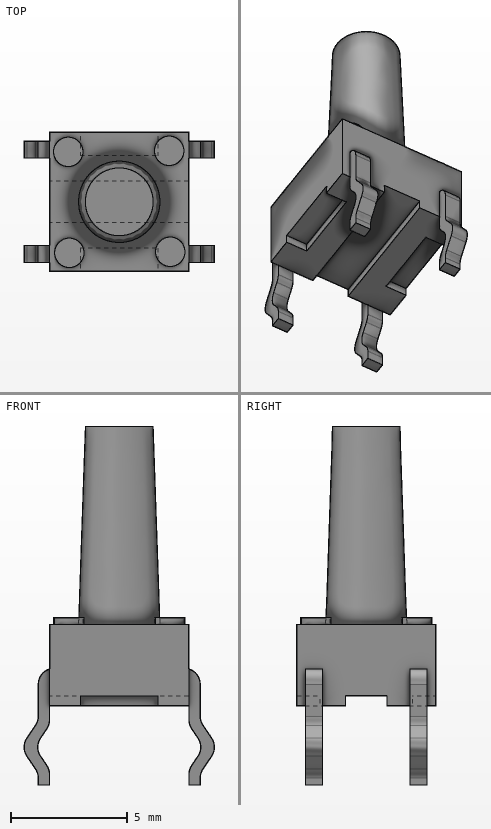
import cadquery as cq
import math

overall_height = 15.45
overall_width = 8.2

body_side = 6.0
body_bottom = 3.41
body_top = 6.92

recess_height = 0.43
channel_width = 1.78
pocket_width = 3.32
pocket_depth = 1.0

plunger_base_diameter = 3.5
plunger_top_diameter = 2.92

rivet_diameter = 1.27
rivet_height = 0.3
rivet_circle_radius = 3.07
rivet_start_angle = 45.6
rivet_count = 4

leg_thickness = 0.5
leg_width = 0.74
leg_spacing = 4.5
leg_top = 5.04
leg_embed = 0.93
bend_radius = 0.7
kink_angle = 34.0
kink_centre_height = 1.64


def make_body():
    body_height = body_top - body_bottom
    body = (
        cq.Workplane("XY")
        .workplane(offset=body_bottom)
        .rect(body_side, body_side)
        .extrude(body_height)
    )
    recess_plane = cq.Workplane("XY").workplane(offset=body_bottom)
    channel = recess_plane.rect(body_side, channel_width).extrude(recess_height)
    pockets = (
        recess_plane
        .pushPoints([(0, -body_side / 2), (0, body_side / 2)])
        .rect(pocket_width, 2 * pocket_depth)
        .extrude(recess_height)
    )
    return body.cut(channel).cut(pockets)


def make_plunger():
    return (
        cq.Workplane("XY")
        .workplane(offset=body_top)
        .circle(plunger_base_diameter / 2)
        .workplane(offset=overall_height - body_top)
        .circle(plunger_top_diameter / 2)
        .loft(ruled=True)
    )


def make_rivets():
    return (
        cq.Workplane("XY")
        .workplane(offset=body_top)
        .polarArray(rivet_circle_radius, rivet_start_angle, 360, rivet_count)
        .circle(rivet_diameter / 2)
        .extrude(rivet_height)
    )


def make_left_leg():
    """Leg on the -X side, centred on Y = 0, standing on Z = 0."""
    slope = math.radians(kink_angle)
    inner_x = -body_side / 2
    outer_x = inner_x - leg_thickness
    embedded_x = inner_x + leg_embed

    outer_tip_x = -overall_width / 2 - bend_radius * (1 / math.cos(slope) - 1)
    inner_tip_x = outer_tip_x + leg_thickness / math.cos(slope)
    outer_half_kink = (outer_x - outer_tip_x) / math.tan(slope)
    inner_half_kink = (inner_x - inner_tip_x) / math.tan(slope)

    outline = [
        (outer_x, 0),
        (outer_x, kink_centre_height - outer_half_kink),
        (outer_tip_x, kink_centre_height),
        (outer_x, kink_centre_height + outer_half_kink),
        (outer_x, leg_top),
        (embedded_x, leg_top),
        (embedded_x, leg_top - leg_thickness),
        (inner_x, leg_top - leg_thickness),
        (inner_x, kink_centre_height + inner_half_kink),
        (inner_tip_x, kink_centre_height),
        (inner_x, kink_centre_height - inner_half_kink),
        (inner_x, 0),
    ]
    strip = cq.Workplane("XZ").polyline(outline).close().extrude(leg_width / 2, both=True)
    return strip.edges("|Y and (not <Z) and (not >X)").fillet(bend_radius)


result = make_body().union(make_plunger()).union(make_rivets())

left_leg = make_left_leg()
right_leg = left_leg.mirror("YZ")
for leg_y in (-leg_spacing / 2, leg_spacing / 2):
    for leg in (left_leg, right_leg):
        result = result.union(leg.translate((0, leg_y, 0)))